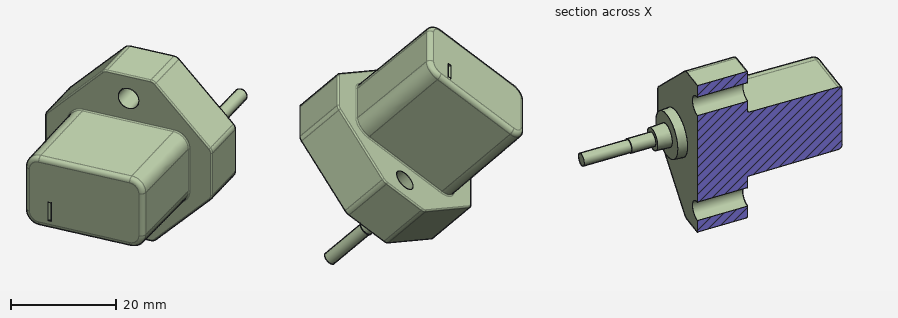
import cadquery as cq


plate_size = 35.0
plate_thickness = 10.6
plate_flat = 10.4
plate_corner_radius = 1.5
plate_edge_radius = 0.3
hole_diameter = 4.3
hole_spacing = 25.0

housing_root_width = 25.28
housing_root_height = 15.34
housing_length = 20.0
housing_corner_radius = 3.1
housing_end_radius = 1.0
housing_root_radius = 0.25
draft_angle = 0.5

groove_width = 0.7
groove_height = 4.0
groove_x = -7.25
groove_z = -3.75

cable_x = 9.3
cable_sections = [
    (2.0, 10.0, 9.7),
    (3.0, 4.9, 4.6),
    (5.0, 2.9, 2.9),
    (10.0, 2.6, 2.6),
]


def make_plate():
    """Octagonal plate with rounded corners and a rounded front rim."""
    corner_cut = (plate_size - plate_flat) / 2
    block = cq.Workplane("XY").box(plate_size, plate_thickness, plate_size)
    block = block.translate((0, -plate_thickness / 2, 0))
    block = block.edges("|Y").chamfer(corner_cut)
    block = block.edges("|Y").fillet(plate_corner_radius)
    return block.faces("<Y").edges().fillet(plate_edge_radius)


def make_housing():
    """Box that narrows towards its end face, with that face's rim rounded."""
    profile = cq.Sketch().rect(housing_root_width, housing_root_height)
    profile = profile.vertices().fillet(housing_corner_radius)
    root_plane = cq.Workplane("XZ", origin=(0, -plate_thickness, 0))
    housing = root_plane.placeSketch(profile).extrude(housing_length, taper=draft_angle)
    return housing.faces("<Y").edges().fillet(housing_end_radius)


def round_housing_root(body):
    """Fillet the inner corner where the housing meets the plate."""
    margin = 0.1
    half_x = housing_root_width / 2 + margin
    half_z = housing_root_height / 2 + margin
    root_edges = cq.selectors.BoxSelector(
        (-half_x, -plate_thickness - margin, -half_z),
        (half_x, -plate_thickness + margin, half_z),
    )
    return body.edges(root_edges).fillet(housing_root_radius)


def cut_mounting_holes(body):
    """Two holes through the plate, above and below the housing."""
    holes = (
        cq.Workplane("XZ")
        .pushPoints([(0, hole_spacing / 2), (0, -hole_spacing / 2)])
        .circle(hole_diameter / 2)
        .extrude(plate_thickness)
    )
    return body.cut(holes)


def cut_groove(body):
    """Half-round upright groove in the end face."""
    end_y = -plate_thickness - housing_length
    groove = cq.Workplane("XY").cylinder(groove_height, groove_width / 2)
    return body.cut(groove.translate((groove_x, end_y, groove_z)))


def make_cable():
    """Stepped cable exit turned about an axis parallel to Y."""
    outline = cq.Workplane("XY").moveTo(0, 0)
    y = 0
    for length, root_diameter, tip_diameter in cable_sections:
        outline = outline.lineTo(root_diameter / 2, y)
        y += length
        outline = outline.lineTo(tip_diameter / 2, y)
    outline = outline.lineTo(0, y).close()
    return outline.revolve(360, (0, 0), (0, 1)).translate((cable_x, 0, 0))


result = make_plate().union(make_housing())
result = round_housing_root(result)
result = cut_mounting_holes(result)
result = cut_groove(result)
result = result.union(make_cable())